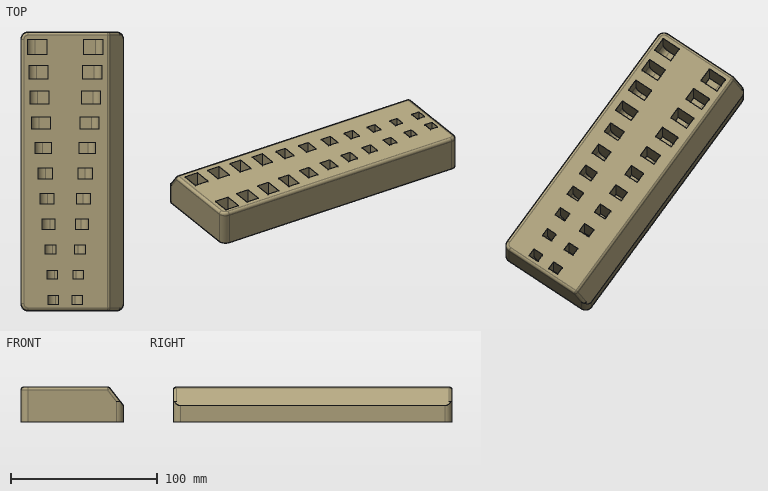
import cadquery as cq
import math

WIDTH = 70.0
LENGTH = 190.0
HEIGHT = 24.0
CORNER_RADIUS = 5.0
TOP_RADIUS = 2.0

SLOPE_RUN = 9.9
SLOPE_DROP = 12.7
SLOPE_ANGLE = math.atan2(SLOPE_DROP, SLOPE_RUN)

SLOPE_Z_AT_CORNER = HEIGHT - SLOPE_DROP + CORNER_RADIUS * math.tan(SLOPE_ANGLE)
RIM_END_Z = SLOPE_Z_AT_CORNER - TOP_RADIUS / math.cos(SLOPE_ANGLE)

POCKET_DEPTH = 20.0
POCKET_FLOOR_RADIUS = 5.1
COLUMN_CENTER_X = -4.8
FIRST_ROW_Y = 85.0
ROW_SPAN = 172.5
FIRST_INNER_OFFSET = 12.5
LAST_INNER_OFFSET = 4.5

POCKET_SIZES = [
    (13.3, 10.3),
    (13.1, 9.3),
    (13.1, 8.7),
    (13.0, 8.2),
    (11.2, 7.6),
    (10.0, 7.8),
    (9.5, 7.5),
    (8.7, 7.0),
    (7.8, 6.3),
    (7.2, 5.9),
    (7.2, 5.9),
]


def make_profile_block():
    """Square-cornered block with a sloped +X side."""
    left = -WIDTH / 2
    right = WIDTH / 2
    return (
        cq.Workplane("XZ", origin=(0, LENGTH / 2, 0))
        .moveTo(left, 0)
        .lineTo(right, 0)
        .lineTo(right, HEIGHT - SLOPE_DROP)
        .lineTo(right - SLOPE_RUN, HEIGHT)
        .lineTo(left, HEIGHT)
        .close()
        .extrude(LENGTH)
    )


def make_prism(height):
    """Square-cornered prism with the block's outline, standing on the base."""
    return cq.Workplane("XY").box(WIDTH, LENGTH, height, centered=(True, True, False))


def make_block():
    """Block with rounded upright corners and a rounded rim that stops at the +X corners."""
    sharp_rim = make_profile_block().edges("|Z and <X").fillet(CORNER_RADIUS)
    slope_normal = cq.Vector(SLOPE_DROP, 0, SLOPE_RUN)
    slope = sharp_rim.faces(cq.DirectionMinMaxSelector(slope_normal))
    rim_edges = sharp_rim.faces(">Z").edges().vals() + slope.edges("not |Y").vals()
    round_rim = sharp_rim.newObject(rim_edges).fillet(TOP_RADIUS)

    base = sharp_rim.intersect(make_prism(RIM_END_Z))
    envelope = make_prism(HEIGHT).edges("|Z").fillet(CORNER_RADIUS)
    return round_rim.union(base).intersect(envelope)


def make_pocket(inner_x, size_x, y, size_y):
    """Pocket cutter on the +X column, with a rounded floor along its outer wall."""
    blank = cq.Workplane("XY").box(size_x, size_y, POCKET_DEPTH, centered=(False, True, False))
    rounded = blank.edges(">X and <Z").fillet(POCKET_FLOOR_RADIUS)
    return rounded.translate((inner_x, y, HEIGHT - POCKET_DEPTH))


def cut_pockets(block):
    """Cut both pocket columns, one mirrored pair per row."""
    steps = len(POCKET_SIZES) - 1
    for row, (size_x, size_y) in enumerate(POCKET_SIZES):
        progress = row / steps
        y = FIRST_ROW_Y - progress * ROW_SPAN
        inner_offset = FIRST_INNER_OFFSET + progress * (LAST_INNER_OFFSET - FIRST_INNER_OFFSET)
        pocket = make_pocket(inner_offset, size_x, y, size_y)
        pair = pocket.union(pocket.mirror("YZ"))
        block = block.cut(pair.translate((COLUMN_CENTER_X, 0, 0)))
    return block


result = cut_pockets(make_block())